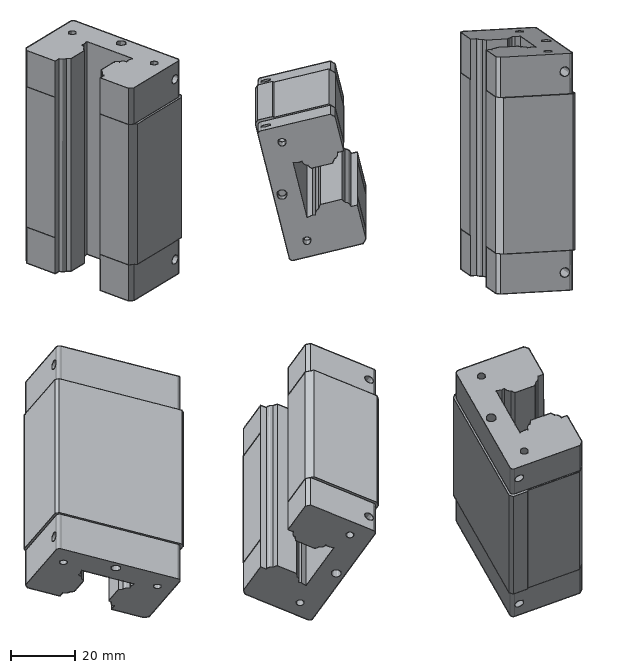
import cadquery as cq
import math

total_length = 75.0
block_width = 44.0
block_height = 25.35
cap_length = 12.75

block_half = block_width / 2
block_top_chamfer = 1.0
foot_half_width = 20.0
relief_depth = 0.34
relief_top = 19.6

cap_half = 21.2
cap_bottom = 0.1
cap_top = 24.7
cap_top_radius = 1.1

roof_half = 9.0
roof_y = 16.2
lip_half = 8.6
lip_y = 14.4
mouth_half = 8.85
mouth_overcut = 0.75
throat_half = 5.9
throat_low = 4.35
throat_high = 11.2
ball_diameter = 4.0
ball_center_x = 9.0
ball_low_y = 4.05
race_edge_drop = 0.5

lube_diameter = 3.0
lube_y = 22.0
lube_depth = 5.7
screw_diameter = 2.4
screw_spacing = 32.25
screw_y = 18.0
screw_depth = 6.0
drill_tip_angle = 118.0


def outline_prism(half_width, bottom, top, length):
    """Rectangular prism, centred on Z = 0, with its -Y edges chamfered at 45 degrees."""
    foot_top = bottom + half_width - foot_half_width
    outline = [
        (-foot_half_width, bottom),
        (foot_half_width, bottom),
        (half_width, foot_top),
        (half_width, top),
        (-half_width, top),
        (-half_width, foot_top),
    ]
    return cq.Workplane("XY").polyline(outline).close().extrude(length / 2, both=True)


def make_block():
    """Chamfered block whose -X face is relieved below a 45 degree step."""
    length = total_length - 2 * cap_length
    block = outline_prism(block_half, 0, block_height, length)
    block = block.edges("|Z and >Y").chamfer(block_top_chamfer)
    relief_outline = [
        (-block_half, 0),
        (-block_half, relief_top),
        (-block_half + relief_depth, relief_top - relief_depth),
        (-block_half + relief_depth, 0),
    ]
    relief = cq.Workplane("XY").polyline(relief_outline).close().extrude(length / 2, both=True)
    return block.cut(relief)


def make_caps():
    """Both end caps as one bar; its middle stretch lies inside the block."""
    bar = outline_prism(cap_half, cap_bottom, cap_top, total_length)
    return bar.edges("|Z and >Y").fillet(cap_top_radius)


def channel_side(sign):
    """Channel half on the side of X given by sign, from the mid plane outwards."""
    radius = ball_diameter / 2
    mid_height = (throat_low + throat_high) / 2
    race_x = ball_center_x - math.sqrt(radius**2 - race_edge_drop**2)
    wall_rise = math.sqrt(radius**2 - (ball_center_x - mouth_half) ** 2)
    diagonal = radius * math.sqrt(0.5)

    def low(x, y):
        return (sign * x, y)

    def high(x, y):
        return (sign * x, 2 * mid_height - y)

    race_end = (mouth_half, ball_low_y - wall_rise)
    race_middle = (ball_center_x - diagonal, ball_low_y - diagonal)
    race_start = (race_x, ball_low_y - race_edge_drop)
    return (
        cq.Workplane("XY")
        .moveTo(0, -mouth_overcut)
        .lineTo(*low(mouth_half, -mouth_overcut))
        .lineTo(*low(*race_end))
        .threePointArc(low(*race_middle), low(*race_start))
        .lineTo(*low(throat_half, throat_low))
        .lineTo(*high(throat_half, throat_low))
        .lineTo(*high(*race_start))
        .threePointArc(high(*race_middle), high(*race_end))
        .lineTo(sign * lip_half, lip_y)
        .lineTo(sign * roof_half, roof_y)
        .lineTo(0, roof_y)
        .close()
        .extrude(total_length / 2, both=True)
    )


def cap_holes():
    """Cutter for the holes of the upper cap."""
    end_z = total_length / 2
    cross = cq.Workplane("YZ").center(lube_y, end_z - lube_depth)
    cross = cross.circle(lube_diameter / 2).extrude(block_half, both=True)
    feed = cq.Workplane("XY", origin=(0, lube_y, end_z - lube_depth))
    cutter = cross.union(feed.circle(lube_diameter / 2).extrude(lube_depth))

    tip_height = screw_diameter / 2 / math.tan(math.radians(drill_tip_angle / 2))
    profile = [
        (0, end_z),
        (screw_diameter / 2, end_z),
        (screw_diameter / 2, end_z - screw_depth),
        (0, end_z - screw_depth - tip_height),
    ]
    drill = cq.Workplane("XZ").polyline(profile).close().revolve(360, (0, 0, 0), (0, 1, 0))
    for x in (-screw_spacing / 2, screw_spacing / 2):
        cutter = cutter.union(drill.translate((x, screw_y, 0)))
    return cutter


result = make_block().union(make_caps())
for side in (-1, 1):
    result = result.cut(channel_side(side))
upper_holes = cap_holes()
result = result.cut(upper_holes).cut(upper_holes.mirror("XY"))